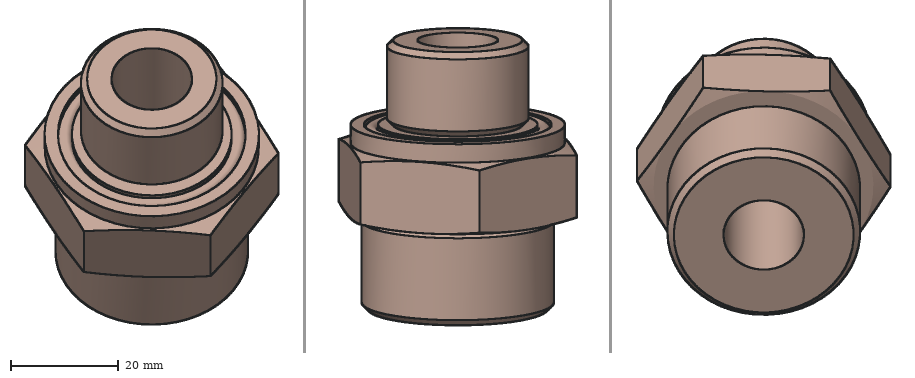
import cadquery as cq
import math

bore_diameter = 15.0

lower_diameter = 36.0
lower_length = 18.0
lower_chamfer = 1.227

hex_across_flats = 41.0
hex_height = 13.5
hex_chamfer_diameter = hex_across_flats
hex_chamfer_angle = 15.0
hex_turn = 30.0

collar_diameter = 40.0
collar_height = 3.5
ring_inner_diameter = 29.8
ring_outer_diameter = 35.0

upper_diameter = 26.44
upper_length = 16.0
upper_chamfer = 1.16
neck_diameter = upper_diameter - 2 * upper_chamfer

hex_bottom = lower_length
hex_top = hex_bottom + hex_height
collar_top = hex_top + collar_height
total_height = collar_top + upper_length

ring_section_radius = (ring_outer_diameter - ring_inner_diameter) / 4
ring_center_radius = (ring_outer_diameter + ring_inner_diameter) / 4


def revolve_profile(points):
    """Revolve a closed (radius, height) outline about the Z axis."""
    return cq.Workplane("XZ").polyline(points).close().revolve(360, (0, 0), (0, 1))


def lower_stud():
    """Cylinder chamfered at its free end and at the hexagon."""
    stud = cq.Workplane("XY").circle(lower_diameter / 2).extrude(lower_length)
    return stud.edges().chamfer(lower_chamfer)


def hexagon():
    """Hexagon with corners along Y, trimmed by a cone at each end."""
    corner_radius = hex_across_flats / math.sqrt(3)
    face_radius = hex_chamfer_diameter / 2
    cone_drop = (corner_radius - face_radius) * math.tan(math.radians(hex_chamfer_angle))
    prism = (
        cq.Workplane("XY", origin=(0, 0, hex_bottom))
        .polygon(6, 2 * corner_radius)
        .extrude(hex_height)
        .rotate((0, 0, 0), (0, 0, 1), hex_turn)
    )
    envelope = revolve_profile([
        (0, hex_bottom),
        (face_radius, hex_bottom),
        (corner_radius, hex_bottom + cone_drop),
        (corner_radius, hex_top - cone_drop),
        (face_radius, hex_top),
        (0, hex_top),
    ])
    return prism.intersect(envelope)


def collar():
    """Round collar with a face groove, the O-ring's upper half standing flush with the face."""
    disc = (
        cq.Workplane("XY", origin=(0, 0, hex_top))
        .circle(collar_diameter / 2)
        .extrude(collar_height)
    )
    groove = (
        cq.Workplane("XY", origin=(0, 0, collar_top))
        .circle(ring_outer_diameter / 2)
        .circle(ring_inner_diameter / 2)
        .extrude(-ring_section_radius)
    )
    ring = (
        cq.Workplane("XZ")
        .center(ring_center_radius, collar_top - ring_section_radius)
        .circle(ring_section_radius)
        .revolve(360, (-ring_center_radius, 0), (-ring_center_radius, 1))
    )
    return disc.cut(groove).union(ring)


def upper_stud():
    """Stud chamfered at its free end and tapering to a neck at the collar."""
    radius = upper_diameter / 2
    return revolve_profile([
        (0, collar_top),
        (neck_diameter / 2, collar_top),
        (radius, collar_top + upper_chamfer),
        (radius, total_height - upper_chamfer),
        (radius - upper_chamfer, total_height),
        (0, total_height),
    ])


bore = cq.Workplane("XY").circle(bore_diameter / 2).extrude(total_height)

result = lower_stud().union(hexagon()).union(collar()).union(upper_stud()).cut(bore)